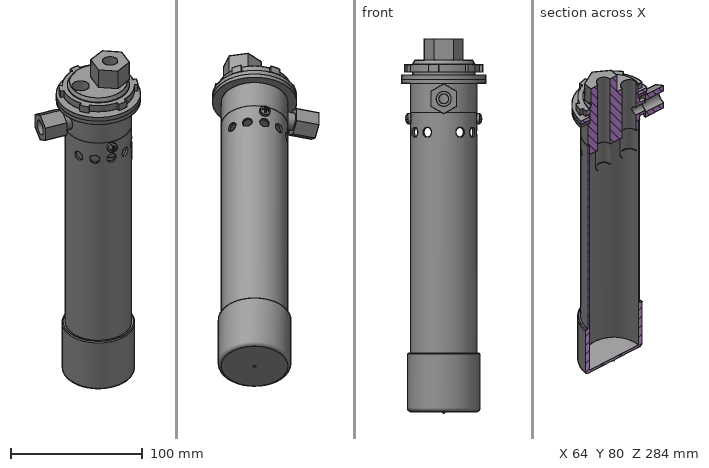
import cadquery as cq
import math

total_height = 284.0
total_depth = 80.0
washer_diameter = 64.0
washer_radius = washer_diameter / 2
bowl_bottom_z = 1.5

tube_radius = 25.3
tube_wall = 1.7
tube_top_z = 228.3
sump_radius = 27.5
sump_top_z = 46.0
sump_floor = 2.8
sump_bottom_fillet = 2.8
sump_top_chamfer = 0.9
tip_radius = 1.0
vent_radius = 3.7
vent_z = 213.3
vent_pitch_angle = 30.0
unvented_angles = (90, 270)
tube_bore_radius = tube_radius - tube_wall

spigot_bottom_z = 218.7
shoulder_z = 250.2
neck_radius = 23.5
neck_top_z = 267.8
neck_chamfer_width = 1.7
neck_chamfer_height = 2.8
top_hex_flats = 25.5
top_hex_y = 9.7
top_bore_radius = 5.7
outlet_y = -14.8
outlet_radius = 6.5
pipe_bottom_z = 198.8
pipe_wall = 0.5
side_port_z = 238.5
side_neck_radius = 6.8
side_hex_flats = 19.5
side_hex_inner_y = -30.5
side_hex_outer_y = washer_radius - total_depth
side_bore_radius = 5.7
side_passage_radius = 3.7

lower_washer_thickness = 3.0
upper_washer_thickness = 3.5
lower_washer_z = shoulder_z
upper_washer_z = lower_washer_z + lower_washer_thickness

nut_bottom_z = 258.7
nut_thickness = 5.7
nut_root_radius = 27.3
nut_lug_diameter = 60.0
nut_lug_radius = nut_lug_diameter / 2
nut_lug_count = 6
nut_lug_width_angle = 15.0
nut_first_lug_angle = 15.0

screw_z = 223.5
screw_head_radius = 4.0
screw_head_cylinder = 2.3
screw_dome_height = 1.7
screw_shank_radius = 2.3
screw_shank_length = 7.0
cross_width = 1.5
cross_length = 5.0
cross_depth = 2.0
screw_seat_x = math.sqrt(tube_radius**2 - screw_head_radius**2)


def cylinder_z(radius, bottom_z, top_z, y=0.0):
    """Vertical cylinder between two heights."""
    return cq.Workplane("XY", origin=(0, y, bottom_z)).circle(radius).extrude(top_z - bottom_z)


def cylinder_y(radius, start_y, end_y, z):
    """Cylinder along -Y from start_y to end_y, centred on X = 0."""
    return cq.Workplane("XZ", origin=(0, start_y, z)).circle(radius).extrude(start_y - end_y)


def hexagon_corner_diameter(flats):
    return flats / math.cos(math.radians(30))


def make_screw():
    """Cross-head screw along +X, in place on the +X side of the tube."""
    rim_x = screw_seat_x + screw_head_cylinder
    crown_x = rim_x + screw_dome_height
    shank_end_x = screw_seat_x - screw_shank_length
    dome_radius = (screw_head_radius**2 + screw_dome_height**2) / (2 * screw_dome_height)
    mid_angle = math.asin(screw_head_radius / dome_radius) / 2
    dome_middle = (
        crown_x - dome_radius * (1 - math.cos(mid_angle)),
        dome_radius * math.sin(mid_angle),
    )
    screw = (
        cq.Workplane("XZ")
        .moveTo(shank_end_x, 0)
        .lineTo(shank_end_x, screw_shank_radius)
        .lineTo(screw_seat_x, screw_shank_radius)
        .lineTo(screw_seat_x, screw_head_radius)
        .lineTo(rim_x, screw_head_radius)
        .threePointArc(dome_middle, (crown_x, 0))
        .close()
        .revolve(360, (0, 0, 0), (1, 0, 0))
    )
    cross = (
        cq.Workplane("YZ", origin=(crown_x - cross_depth, 0, 0))
        .rect(cross_length, cross_width)
        .rect(cross_width, cross_length)
        .extrude(cross_depth)
    )
    return screw.cut(cross).translate((0, 0, screw_z))


def make_screw_clearance():
    """Space taken by one screw on the +X side, without its cross recess."""
    shank = (
        cq.Workplane("YZ", origin=(screw_seat_x - screw_shank_length, 0, screw_z))
        .circle(screw_shank_radius)
        .extrude(screw_shank_length)
    )
    seat = (
        cq.Workplane("YZ", origin=(screw_seat_x, 0, screw_z))
        .circle(screw_head_radius)
        .extrude(screw_head_cylinder)
    )
    return shank.union(seat)


def place_on_both_sides(shape):
    """The shape on the +X side and its copy turned to the -X side."""
    return [shape.rotate((0, 0, 0), (0, 0, 1), angle) for angle in (0, 180)]


def make_bowl():
    """Tube, thick closed end and pointed tip, bored from above and vented all around."""
    tube = cylinder_z(tube_radius, bowl_bottom_z, tube_top_z)
    sump = (
        cylinder_z(sump_radius, bowl_bottom_z, sump_top_z)
        .faces("<Z").edges().fillet(sump_bottom_fillet)
        .faces(">Z").edges().chamfer(sump_top_chamfer)
    )
    tip = cq.Workplane(cq.Solid.makeCone(0, tip_radius, bowl_bottom_z))
    bore = cylinder_z(tube_bore_radius, bowl_bottom_z + sump_floor, tube_top_z)
    bowl = tube.union(sump).union(tip).cut(bore)

    vent = cq.Workplane("YZ", origin=(0, 0, vent_z)).circle(vent_radius).extrude(sump_radius)
    for step in range(round(360 / vent_pitch_angle)):
        angle = step * vent_pitch_angle
        if angle not in unvented_angles:
            bowl = bowl.cut(vent.rotate((0, 0, 0), (0, 0, 1), angle))

    for clearance in place_on_both_sides(make_screw_clearance()):
        bowl = bowl.cut(clearance)
    return bowl


def make_head():
    """Turned head with a hexagonal port on top, another toward -Y and two pipes below."""
    profile = [
        (0, spigot_bottom_z),
        (tube_bore_radius, spigot_bottom_z),
        (tube_bore_radius, tube_top_z),
        (tube_radius, tube_top_z),
        (tube_radius, shoulder_z),
        (neck_radius, shoulder_z),
        (neck_radius, neck_top_z - neck_chamfer_height),
        (neck_radius - neck_chamfer_width, neck_top_z),
        (0, neck_top_z),
    ]
    turned = cq.Workplane("XZ").polyline(profile).close().revolve(360, (0, 0, 0), (0, 1, 0))

    top_hex = (
        cq.Workplane("XY", origin=(0, top_hex_y, neck_top_z))
        .polygon(6, hexagon_corner_diameter(top_hex_flats))
        .extrude(total_height - neck_top_z)
    )
    side_neck = cylinder_y(side_neck_radius, outlet_y, side_hex_inner_y, side_port_z)
    side_hex = (
        cq.Workplane("XZ", origin=(0, side_hex_inner_y, side_port_z))
        .transformed(rotate=(0, 0, 90))
        .polygon(6, hexagon_corner_diameter(side_hex_flats))
        .extrude(side_hex_inner_y - side_hex_outer_y)
    )
    head = turned.union(top_hex).union(side_neck).union(side_hex)

    for bore_radius, bore_y in ((top_bore_radius, top_hex_y), (outlet_radius, outlet_y)):
        pipe = cylinder_z(bore_radius + pipe_wall, pipe_bottom_z, spigot_bottom_z, y=bore_y)
        bore = cylinder_z(bore_radius, pipe_bottom_z, total_height, y=bore_y)
        head = head.union(pipe).cut(bore)

    side_bore = cylinder_y(side_bore_radius, side_hex_inner_y, side_hex_outer_y, side_port_z)
    side_passage = cylinder_y(side_passage_radius, outlet_y, side_hex_inner_y, side_port_z)
    head = head.cut(side_bore).cut(side_passage)

    for clearance in place_on_both_sides(make_screw_clearance()):
        head = head.cut(clearance)
    return head


def make_washer(bottom_z, thickness):
    """Flat washer around the neck."""
    return (
        cq.Workplane("XY", origin=(0, 0, bottom_z))
        .circle(washer_radius)
        .circle(neck_radius)
        .extrude(thickness)
    )


def make_ring_nut():
    """Ring nut with evenly spaced lugs that are sectors of a larger ring."""
    top_z = nut_bottom_z + nut_thickness
    ring = cylinder_z(nut_root_radius, nut_bottom_z, top_z)
    half_angle = math.radians(nut_lug_width_angle / 2)
    lug_corner = (
        nut_lug_radius * math.cos(half_angle),
        nut_lug_radius * math.sin(half_angle),
    )
    lug = (
        cq.Workplane("XY", origin=(0, 0, nut_bottom_z))
        .lineTo(lug_corner[0], -lug_corner[1])
        .threePointArc((nut_lug_radius, 0), lug_corner)
        .close()
        .extrude(nut_thickness)
    )
    for index in range(nut_lug_count):
        angle = nut_first_lug_angle + index * 360 / nut_lug_count
        ring = ring.union(lug.rotate((0, 0, 0), (0, 0, 1), angle))
    return ring.cut(cylinder_z(neck_radius, nut_bottom_z, top_z))


bowl = make_bowl()
head = make_head()
lower_washer = make_washer(lower_washer_z, lower_washer_thickness)
upper_washer = make_washer(upper_washer_z, upper_washer_thickness)
ring_nut = make_ring_nut()
screws = place_on_both_sides(make_screw())

result = cq.Compound.makeCompound([
    bowl.val(),
    head.val(),
    lower_washer.val(),
    upper_washer.val(),
    ring_nut.val(),
    *[screw.val() for screw in screws],
])